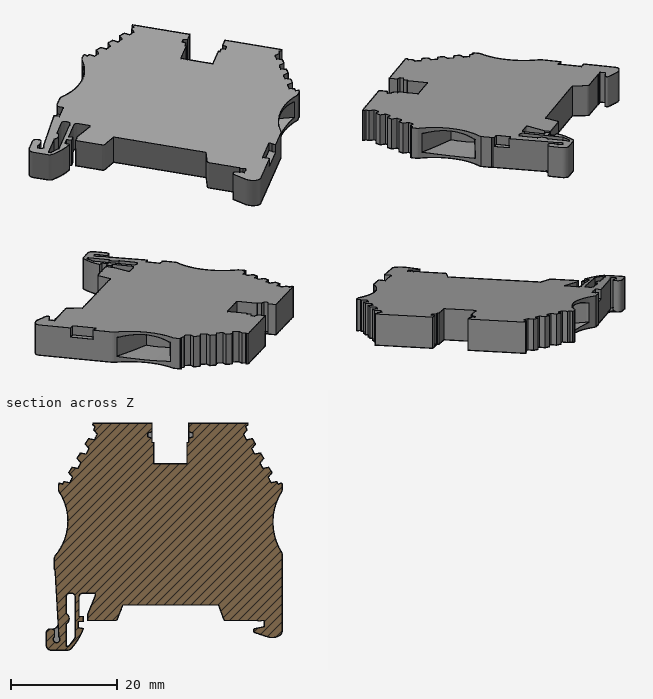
import cadquery as cq
import math


thickness = 6.0
top_y = 42.5
right_x = 20.95
left_x = -23.25
skin = 0.2

opening_half_upper = 3.4
opening_half_lower = 3.1
opening_step_y = 38.9
opening_floor_y = 34.95
pit_depth = 0.8
pit_top_y = 40.9
pit_bottom_y = 39.7
pit_taper = 0.25

shoulder_x = 14.5
rib_count = 4
rib_root = (13.7, 40.45)
rib_pitch = (1.54, -2.68)
rib_foot = (0.52, -1.03)
rib_crest = (1.62, -0.82)
rib_tip = (2.26, -1.84)
shoulder_nose = ((14.55, 42.2), (14.1, 41.9), (14.35, 41.25))
shoulder_end = ((19.9, 31.6), (20.2, 31.1), (20.75, 31.35), (right_x, 31.1))

recess_y = 24.0
recess_x = 19.2
recess_half_height = 5.75
recess_corner = 0.3
recess_mouth_x = 20.87

funnel_y = 23.9
funnel_mouth_half = 5.2
funnel_inner_half = 2.3
funnel_mouth_x = 20.35
funnel_inner_x = 11.2
funnel_outer_x = 22.0
funnel_end_height = 3.7
funnel_mid_height = 4.95

flank_recess_end = (-21.6, 17.65)
flank_corner = (-21.75, 17.3)
flank_step_top = (-21.75, 15.25)
flank_step_bottom = (-21.6, 15.0)
slot_x = -21.3
slot_y = 2.05
slot_radius = 0.6
neck_left_x = -21.65
neck_right_x = -20.86

hook_top_y = 4.0
hook_outer_radius = 0.75
hook_tip_radius = 0.5
hook_bottom_radius = 1.0
skin_end = (-21.0, 5.3)
skin_mid = (-21.3, 4.35)
skin_start = (-22.1, hook_top_y)

leg_bottom_end_x = -19.28
leg_corner_mid = (-18.8, 0.13)
leg_corner_end = (-18.41, 0.5)
latch_flank_mid = (-16.97, 2.5)
latch_tip = (-16.25, 4.1)
latch_groove_x = -17.2
latch_groove_bottom_y = 4.25
latch_groove_top_y = 5.4
latch_step_x = -16.27
latch_step_y = 6.35
gap_left_x = -17.06
gap_top_y = 10.66
gap_radius = 0.6
gap_corner_x = -13.9
gap_corner_radius = 0.25
foot_x = -15.5
foot_y = 5.55
foot_chamfer_y = 6.7
rail_left_x = -10.02
rail_left_top_x = -8.9
rail_top_y = 8.45
rail_right_top_x = 9.0
rail_right_x = 10.05
rail_corner_radius = 0.5

ridge_start_x = 16.35
ridge_end_x = 16.95
ridge_height = 0.1
fixed_hook_x = 17.55
fixed_hook_floor_y = 4.45
fixed_tip_top = (15.9, 4.1)
fixed_tip_mid = (15.55, 3.7)
fixed_tip_bottom = (15.9, 3.27)
fixed_hook_base = (18.2, 2.5)
fixed_hook_base_end = (18.5, 2.42)
fixed_hook_sole_mid = (19.4, 2.4)
fixed_hook_sole_end = (20.24, 2.65)
fixed_hook_corner_mid = (20.74, 3.03)
fixed_hook_corner_y = 3.55

leg_slot_left_x = -19.47
leg_slot_right_x = -17.84
leg_slot_top_y = 10.66
leg_slot_radius = 0.6
leg_slot_bottom_y = 0.8
leg_slot_bottom_x = -19.0
leg_slot_right_bottom_y = 2.4
stop_y = 5.92
stop_half_height = 1.0
stop_height = 0.55

marker_depth = 1.8
left_marker_inner_x = -20.35
left_marker_y = (11.9, 14.7)
right_marker_inner_x = 19.6
right_marker_y = (9.75, 14.3)
right_marker_lip_x = 20.2
right_marker_lip_y = 14.15


def shoulder_points():
    """Ribbed +X shoulder, from the top edge down to the finger recess."""
    points = [(shoulder_x, top_y), *shoulder_nose]
    for i in range(rib_count):
        root_x = rib_root[0] + i * rib_pitch[0]
        root_y = rib_root[1] + i * rib_pitch[1]
        points.append((root_x, root_y))
        points.append((root_x + rib_foot[0], root_y + rib_foot[1]))
        if i < rib_count - 1:
            points.append((root_x + rib_crest[0], root_y + rib_crest[1]))
            points.append((root_x + rib_tip[0], root_y + rib_tip[1]))
    recess_top_y = recess_y + recess_half_height
    return points + [
        *shoulder_end,
        (right_x, recess_top_y + recess_corner),
        (recess_mouth_x, recess_top_y),
    ]


def round_corner(block, x, y, radius):
    """Fillet the upright edge of the block at (x, y)."""
    edge = cq.selectors.NearestToPointSelector((x, y, thickness / 2))
    return block.edges("|Z").edges(edge).fillet(radius)


def body():
    right_shoulder = shoulder_points()
    recess_bottom_y = recess_y - recess_half_height
    left_shoulder = [(-x, y) for x, y in right_shoulder]
    diagonal = math.sqrt(0.5)
    hook_mid_offset = hook_outer_radius * (1 - diagonal)
    bottom_mid_offset = hook_bottom_radius * (1 - diagonal)
    tip_mid_offset = hook_tip_radius * (1 - diagonal)
    gap_mid_offset = gap_radius * (1 - diagonal)
    outline = (
        cq.Workplane("XY")
        .moveTo(-opening_half_upper, top_y)
        .polyline(left_shoulder, includeCurrent=True)
        .threePointArc((-recess_x, recess_y), flank_recess_end)
        .lineTo(*flank_corner)
        .lineTo(*flank_step_top)
        .lineTo(*flank_step_bottom)
        .lineTo(neck_right_x, slot_y)
        .lineTo(neck_left_x, slot_y)
        .lineTo(neck_left_x, hook_top_y - hook_tip_radius)
        .threePointArc(
            (neck_left_x - tip_mid_offset, hook_top_y - tip_mid_offset),
            (neck_left_x - hook_tip_radius, hook_top_y),
        )
        .lineTo(left_x + hook_outer_radius, hook_top_y)
        .threePointArc(
            (left_x + hook_mid_offset, hook_top_y - hook_mid_offset),
            (left_x, hook_top_y - hook_outer_radius),
        )
        .lineTo(left_x, hook_bottom_radius)
        .threePointArc(
            (left_x + bottom_mid_offset, bottom_mid_offset),
            (left_x + hook_bottom_radius, 0),
        )
        .lineTo(leg_bottom_end_x, 0)
        .threePointArc(leg_corner_mid, leg_corner_end)
        .threePointArc(latch_flank_mid, latch_tip)
        .lineTo(latch_groove_x, latch_groove_bottom_y)
        .lineTo(latch_groove_x, latch_groove_top_y)
        .lineTo(latch_step_x, latch_groove_top_y)
        .lineTo(latch_step_x, latch_step_y)
        .lineTo(gap_left_x, latch_step_y)
        .lineTo(gap_left_x, gap_top_y - gap_radius)
        .threePointArc(
            (gap_left_x + gap_mid_offset, gap_top_y - gap_mid_offset),
            (gap_left_x + gap_radius, gap_top_y),
        )
        .lineTo(gap_corner_x, gap_top_y)
        .lineTo(foot_x, foot_chamfer_y)
        .lineTo(foot_x, foot_y)
        .lineTo(rail_left_x, foot_y)
        .lineTo(rail_left_top_x, rail_top_y)
        .lineTo(rail_right_top_x, rail_top_y)
        .lineTo(rail_right_x, foot_y)
        .lineTo(ridge_start_x, foot_y)
        .lineTo(ridge_start_x, foot_y - ridge_height)
        .lineTo(ridge_end_x, foot_y - ridge_height)
        .lineTo(ridge_end_x, foot_y)
        .lineTo(fixed_hook_x, foot_y)
        .lineTo(fixed_hook_x, fixed_hook_floor_y)
        .lineTo(*fixed_tip_top)
        .threePointArc(fixed_tip_mid, fixed_tip_bottom)
        .lineTo(*fixed_hook_base)
        .lineTo(*fixed_hook_base_end)
        .threePointArc(fixed_hook_sole_mid, fixed_hook_sole_end)
        .threePointArc(fixed_hook_corner_mid, (right_x, fixed_hook_corner_y))
        .lineTo(right_x, recess_bottom_y - recess_corner)
        .lineTo(recess_mouth_x, recess_bottom_y)
        .threePointArc((recess_x, recess_y), right_shoulder[-1])
        .polyline(right_shoulder[-2::-1], includeCurrent=True)
        .lineTo(opening_half_upper, top_y)
        .lineTo(opening_half_upper, opening_step_y)
        .lineTo(opening_half_lower, opening_step_y)
        .lineTo(opening_half_lower, opening_floor_y)
        .lineTo(-opening_half_lower, opening_floor_y)
        .lineTo(-opening_half_lower, opening_step_y)
        .lineTo(-opening_half_upper, opening_step_y)
        .close()
    )
    block = outline.extrude(thickness)
    block = round_corner(block, rail_left_x, foot_y, rail_corner_radius)
    block = round_corner(block, rail_right_x, foot_y, rail_corner_radius)
    return round_corner(block, gap_corner_x, gap_top_y, gap_corner_radius)


def leg_slot():
    """Long through slot with a rounded stop bulging in from its left side."""
    corner = leg_slot_radius * (1 - math.sqrt(0.5))
    return (
        cq.Workplane("XY")
        .moveTo(leg_slot_left_x, leg_slot_bottom_y)
        .lineTo(leg_slot_left_x, stop_y - stop_half_height)
        .threePointArc(
            (leg_slot_left_x + stop_height, stop_y),
            (leg_slot_left_x, stop_y + stop_half_height),
        )
        .lineTo(leg_slot_left_x, leg_slot_top_y - leg_slot_radius)
        .threePointArc(
            (leg_slot_left_x + corner, leg_slot_top_y - corner),
            (leg_slot_left_x + leg_slot_radius, leg_slot_top_y),
        )
        .lineTo(leg_slot_right_x - leg_slot_radius, leg_slot_top_y)
        .threePointArc(
            (leg_slot_right_x - corner, leg_slot_top_y - corner),
            (leg_slot_right_x, leg_slot_top_y - leg_slot_radius),
        )
        .lineTo(leg_slot_right_x, leg_slot_right_bottom_y)
        .lineTo(leg_slot_bottom_x, leg_slot_bottom_y)
        .close()
        .extrude(thickness)
    )


def slot_end():
    """Round bottom of the narrow slot behind the hook."""
    return cq.Workplane("XY").center(slot_x, slot_y).circle(slot_radius).extrude(thickness)


def hook_skin():
    """Thin wall closing the narrow slot at the lower flat side."""
    skin_floor_y = slot_y - slot_radius
    return (
        cq.Workplane("XY")
        .moveTo(*skin_start)
        .threePointArc(skin_mid, skin_end)
        .lineTo(slot_x + slot_radius, slot_y)
        .lineTo(slot_x + slot_radius, skin_floor_y)
        .lineTo(skin_start[0], skin_floor_y)
        .close()
        .extrude(skin)
    )


def side_pit():
    """Tapered pit in the +X wall of the screw opening, closed by the skin below."""
    inner_x = opening_half_upper + pit_depth
    return (
        cq.Workplane("XY", origin=(0, 0, skin))
        .moveTo(opening_half_upper, pit_top_y)
        .lineTo(inner_x, pit_top_y - pit_taper)
        .lineTo(inner_x, pit_bottom_y + pit_taper)
        .lineTo(opening_half_upper, pit_bottom_y)
        .close()
        .extrude(thickness - skin)
    )


def wire_funnel():
    """Funnel on the +X side: trapezium in plan, with arched floor and roof."""
    taper = (funnel_mouth_half - funnel_inner_half) / (funnel_mouth_x - funnel_inner_x)
    outer_half = funnel_inner_half + taper * (funnel_outer_x - funnel_inner_x)
    plan = (
        cq.Workplane("XY")
        .moveTo(funnel_inner_x, funnel_y - funnel_inner_half)
        .lineTo(funnel_outer_x, funnel_y - outer_half)
        .lineTo(funnel_outer_x, funnel_y + outer_half)
        .lineTo(funnel_inner_x, funnel_y + funnel_inner_half)
        .close()
        .extrude(thickness)
    )
    mid_z = thickness / 2
    low_y = funnel_y - funnel_mouth_half
    high_y = funnel_y + funnel_mouth_half
    section = (
        cq.Workplane("YZ", origin=(funnel_inner_x, 0, 0))
        .moveTo(low_y, mid_z - funnel_end_height / 2)
        .threePointArc(
            (funnel_y, mid_z - funnel_mid_height / 2),
            (high_y, mid_z - funnel_end_height / 2),
        )
        .lineTo(high_y, mid_z + funnel_end_height / 2)
        .threePointArc(
            (funnel_y, mid_z + funnel_mid_height / 2),
            (low_y, mid_z + funnel_end_height / 2),
        )
        .close()
        .extrude(funnel_outer_x - funnel_inner_x)
    )
    return plan.intersect(section)


def marker_pocket(points):
    """Shallow pocket sunk from the upper flat side."""
    base = cq.Workplane("XY", origin=(0, 0, thickness - marker_depth))
    return base.polyline(points).close().extrude(marker_depth)


def left_marker_pocket():
    low_y, high_y = left_marker_y
    return marker_pocket(
        [
            (left_x, low_y),
            (left_marker_inner_x, low_y),
            (left_marker_inner_x, high_y),
            (left_x, high_y),
        ]
    )


def right_marker_pocket():
    low_y, high_y = right_marker_y
    return marker_pocket(
        [
            (right_x, low_y),
            (right_marker_inner_x, low_y),
            (right_marker_inner_x, high_y),
            (right_marker_lip_x, high_y),
            (right_marker_lip_x, right_marker_lip_y),
            (right_x, right_marker_lip_y),
        ]
    )


result = body().cut(leg_slot()).cut(slot_end()).union(hook_skin())
for cutter in (side_pit(), wire_funnel()):
    result = result.cut(cutter).cut(cutter.mirror("YZ"))
result = result.cut(left_marker_pocket()).cut(right_marker_pocket())